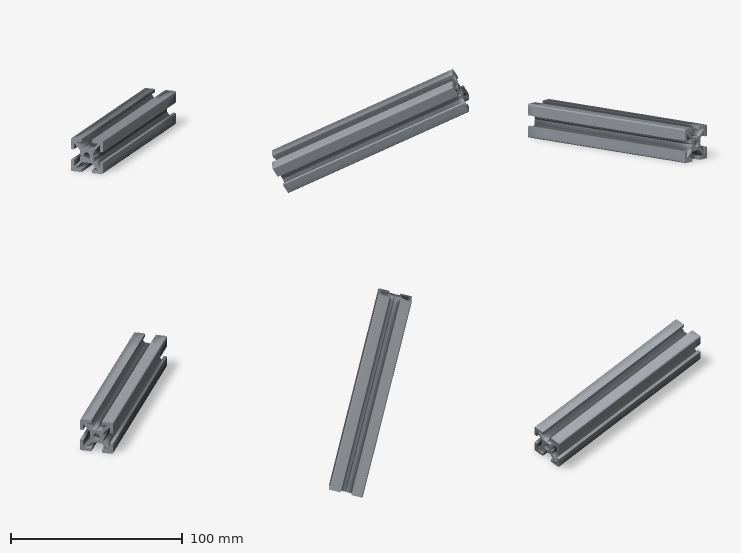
import cadquery as cq
import math

length = 119.0
side = 20.0
corner_radius = 1.0
slot_opening = 6.4
lip_thickness = 1.9
core_side = 8.2
web_thickness = 1.5
bore_diameter = 4.0
groove_width = 1.3
groove_depth = 0.6
groove_floor_width = 0.2

outer = side / 2
lip_inner = outer - lip_thickness
core = core_side / 2
opening = slot_opening / 2
groove = groove_width / 2
groove_floor = groove_floor_width / 2
web_offset = web_thickness / math.sqrt(2)


def square_bar():
    """Solid bar along Y with rounded long edges."""
    bar = cq.Workplane("XY").box(side, length, side)
    return bar.edges("|Y").fillet(corner_radius)


def slot_cutter():
    """Upper T-slot, including the tapered groove in its floor."""
    right_half = [
        (groove_floor, core - groove_depth),
        (groove, core),
        (core - web_offset, core),
        (lip_inner - web_offset, lip_inner),
        (opening, lip_inner),
        (opening, outer),
    ]
    left_half = [(-x, z) for x, z in reversed(right_half)]
    outline = right_half + left_half
    return cq.Workplane("XZ").polyline(outline).close().extrude(length / 2, both=True)


result = square_bar()
upper_slot = slot_cutter()
for quarter_turn in range(4):
    slot = upper_slot.rotate((0, 0, 0), (0, 1, 0), 90 * quarter_turn)
    result = result.cut(slot)

bore = cq.Workplane("XZ").circle(bore_diameter / 2).extrude(length / 2, both=True)
result = result.cut(bore)